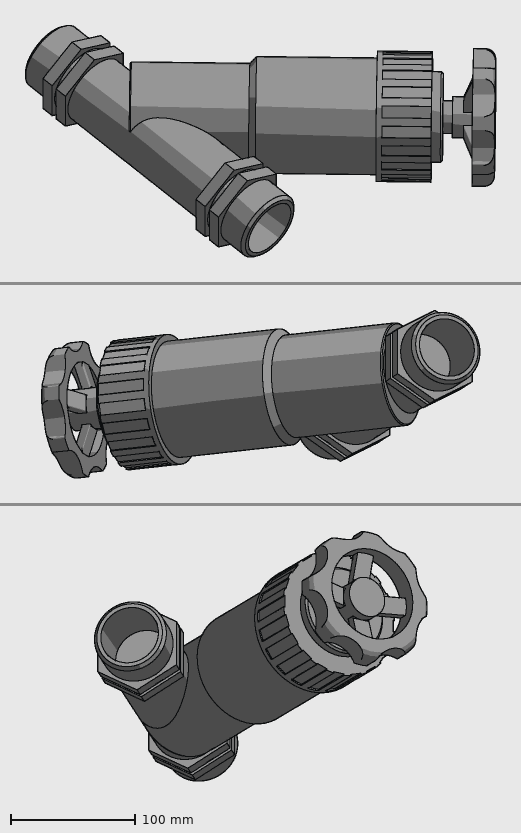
import cadquery as cq
import math

PIPE_LENGTH = 253.5
PIPE_DIAMETER = 59.5
PIPE_CHAMFER = 2.5
BORE_DIAMETER = 47.5
BORE_DEPTH = 51.5

HEX_ACROSS_FLATS = 64.8
HEX_THICKNESS = 10.5
HEX_OFFSETS = (25.5, 41.0)

BRANCH_X = 86.0
BRANCH_ANGLE = 45
SLEEVE_DIAMETER = 83
SLEEVE_BASE = 4.3
SLEEVE_CHAMFER = 1.0
BODY_DIAMETER = 94.0
BODY_BASE = 100.5

UNION_DIAMETER = 105.0
UNION_BASE = 202.8
UNION_TOP = 247.0
GROOVE_COUNT = 20
GROOVE_WIDTH = 9.5
GROOVE_DEPTH = 1.3
GROOVE_START = UNION_BASE + 4.5

CAP_DIAMETER = 73
CAP_TOP = 256
CAP_CHAMFER = 1.5
STEM_DIAMETER = 26.5

HUB_DIAMETER = 33.2
HUB_BASE = 263.5
HUB_TOP = 290.0
RIM_DIAMETER = 110.7
RIM_INNER_DIAMETER = 76.5
RIM_BASE = 280.0
RIM_TOP = 298.0
RIM_FILLET = 8.3
LOBE_COUNT = 8
LOBE_FILLET = 1.3
SCALLOP_RADIUS = 23.3
SCALLOP_CENTER = 70.5
SPOKE_COUNT = 4
SPOKE_WIDTH = 15.0
SPOKE_FILLET = 1.3
SPOKE_OVERLAP = 1.5
SPOKE_THICKNESS = 8.0
SPOKE_HUB_BASE = 272.5


def rod(diameter, base, top):
    """Cylinder on the Z axis between two heights."""
    return cq.Workplane("XY").workplane(offset=base).circle(diameter / 2).extrude(top - base)


def around_axis(shape, count, start_angle=0.0):
    """Copies of a shape spread evenly around the Z axis."""
    copies = cq.Workplane("XY")
    for index in range(count):
        angle = start_angle + index * 360 / count
        copies = copies.add(shape.rotate((0, 0, 0), (0, 0, 1), angle))
    return copies.combine()


def make_pipe():
    pipe = cq.Workplane("YZ").circle(PIPE_DIAMETER / 2).extrude(PIPE_LENGTH)
    pipe = pipe.faces("<X or >X").chamfer(PIPE_CHAMFER)
    hex_across_corners = HEX_ACROSS_FLATS / math.cos(math.pi / 6)
    for offset in HEX_OFFSETS:
        for start in (offset, PIPE_LENGTH - offset - HEX_THICKNESS):
            nut = cq.Workplane("YZ", origin=(start, 0, 0)).polygon(6, hex_across_corners)
            nut = nut.extrude(HEX_THICKNESS).rotate((0, 0, 0), (1, 0, 0), 90)
            pipe = pipe.union(nut)
    return pipe


def make_bores():
    bores = cq.Workplane("YZ")
    for start in (0, PIPE_LENGTH - BORE_DEPTH):
        bore = cq.Workplane("YZ", origin=(start, 0, 0)).circle(BORE_DIAMETER / 2)
        bores = bores.add(bore.extrude(BORE_DEPTH))
    return bores.combine()


def make_union_nut():
    nut = rod(UNION_DIAMETER, UNION_BASE, UNION_TOP)
    floor_radius = UNION_DIAMETER / 2 - GROOVE_DEPTH
    groove = cq.Workplane("XY", origin=(floor_radius, 0, GROOVE_START)).box(
        UNION_DIAMETER, GROOVE_WIDTH, UNION_TOP - GROOVE_START, centered=(False, True, False)
    )
    return nut.cut(around_axis(groove, GROOVE_COUNT))


def make_bonnet():
    sleeve = rod(SLEEVE_DIAMETER, SLEEVE_BASE, UNION_BASE).faces("<Z").chamfer(SLEEVE_CHAMFER)
    step = (BODY_DIAMETER - SLEEVE_DIAMETER) / 2
    body = rod(BODY_DIAMETER, BODY_BASE, UNION_BASE).faces("<Z").chamfer(step)
    cap = rod(CAP_DIAMETER, UNION_TOP, CAP_TOP).faces(">Z").chamfer(CAP_CHAMFER)
    stem = rod(STEM_DIAMETER, CAP_TOP, HUB_BASE)
    return sleeve.union(body).union(make_union_nut()).union(cap).union(stem)


def make_rim():
    disc = rod(RIM_DIAMETER, RIM_BASE, RIM_TOP)
    scallop = rod(2 * SCALLOP_RADIUS, RIM_BASE, RIM_TOP).translate((SCALLOP_CENTER, 0, 0))
    lobes = disc.cut(around_axis(scallop, LOBE_COUNT, 180 / LOBE_COUNT))
    lobes = lobes.edges("|Z").fillet(LOBE_FILLET)
    domed_disc = disc.faces(">Z").edges().fillet(RIM_FILLET)
    return lobes.intersect(domed_disc).cut(rod(RIM_INNER_DIAMETER, RIM_BASE, RIM_TOP))


def make_spoke():
    """One spoke along +X, rising from the hub to the rim."""
    hub_radius = HUB_DIAMETER / 2
    inner_radius = RIM_INNER_DIAMETER / 2
    outer_radius = inner_radius + SPOKE_OVERLAP
    outline = [
        (0, SPOKE_HUB_BASE),
        (hub_radius, SPOKE_HUB_BASE),
        (inner_radius, RIM_BASE),
        (outer_radius, RIM_BASE),
        (outer_radius, RIM_BASE + SPOKE_THICKNESS),
        (inner_radius, RIM_BASE + SPOKE_THICKNESS),
        (hub_radius, SPOKE_HUB_BASE + SPOKE_THICKNESS),
        (0, SPOKE_HUB_BASE + SPOKE_THICKNESS),
    ]
    spoke = cq.Workplane("XZ").polyline(outline).close().extrude(SPOKE_WIDTH / 2, both=True)
    underside_middle = ((hub_radius + inner_radius) / 2, 0, (SPOKE_HUB_BASE + RIM_BASE) / 2)
    underside = spoke.faces(cq.NearestToPointSelector(underside_middle))
    return underside.edges("not |Y").fillet(SPOKE_FILLET)


def make_handwheel():
    hub = rod(HUB_DIAMETER, HUB_BASE, HUB_TOP)
    return make_rim().union(hub).union(around_axis(make_spoke(), SPOKE_COUNT))


def lean(shape):
    """Lay a shape built on the Z axis along the slanted bonnet axis."""
    laid = shape.rotate((0, 0, 0), (0, 1, 0), 90).rotate((0, 0, 0), (0, 0, 1), BRANCH_ANGLE)
    return laid.translate((BRANCH_X, 0, 0))


top_works = make_bonnet().union(make_handwheel())
result = make_pipe().union(lean(top_works)).cut(make_bores())